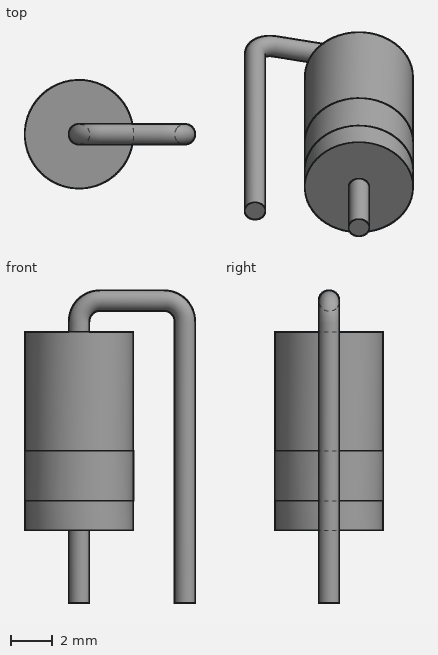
import cadquery as cq


body_diameter = 5.21
body_length = 9.53
band_diameter = 5.23
band_start = 1.43
band_length = 2.38
lead_diameter = 1.0
lead_pitch = 5.08
lead_drop = 3.5
bend_radius = 1.0
top_stub = 0.5

lead_bottom = -lead_drop
bend_start = body_length + top_stub
bridge_height = bend_start + bend_radius


def cylinder(diameter, bottom, length):
    """Solid cylinder on the Z axis."""
    return cq.Workplane("XY").workplane(offset=bottom).circle(diameter / 2).extrude(length)


def bent_lead():
    """Single wire running up the body axis, across the top and down at the lead pitch."""
    centreline = (
        cq.Workplane("XZ")
        .moveTo(0, lead_bottom)
        .lineTo(0, bend_start)
        .tangentArcPoint((bend_radius, bridge_height), relative=False)
        .lineTo(lead_pitch - bend_radius, bridge_height)
        .tangentArcPoint((lead_pitch, bend_start), relative=False)
        .lineTo(lead_pitch, lead_bottom)
    )
    return cq.Workplane("XY").workplane(offset=lead_bottom).circle(lead_diameter / 2).sweep(centreline)


body = cylinder(body_diameter, 0, body_length)
cathode_band = cylinder(band_diameter, band_start, band_length)

result = body.union(cathode_band).union(bent_lead())